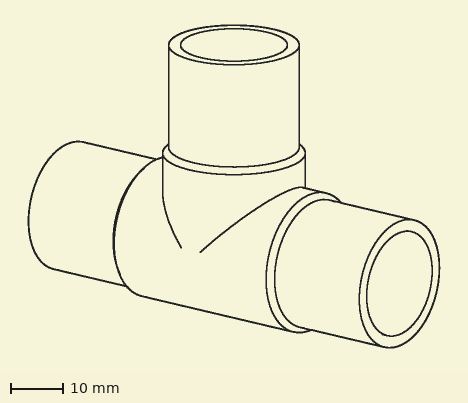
import cadquery as cq

run_length = 80.0
reach = run_length / 2
spigot_length = 20.5
spigot_diameter = 25.0
body_diameter = 27.3
bore_diameter = 20.4

shoulder = reach - spigot_length
bevel = (body_diameter - spigot_diameter) / 2


def cylinder(plane, diameter, length):
    """Round bar starting at the centre of the tee, along the plane's normal."""
    return cq.Workplane(plane).circle(diameter / 2).extrude(length)


def arm(plane):
    """Bevelled body with a spigot reaching out to the open end."""
    body = cylinder(plane, body_diameter, shoulder)
    body = body.faces(cq.selectors.DirectionMinMaxSelector(plane.zDir, True)).chamfer(bevel)
    return body.union(cylinder(plane, spigot_diameter, reach))


arm_planes = [
    cq.Plane(origin=(0, 0, 0), xDir=(0, 1, 0), normal=direction)
    for direction in [(1, 0, 0), (-1, 0, 0), (0, 0, 1)]
]

result = arm(arm_planes[0])
for plane in arm_planes[1:]:
    result = result.union(arm(plane))

for plane in arm_planes:
    result = result.cut(cylinder(plane, bore_diameter, reach))

result = result.clean()